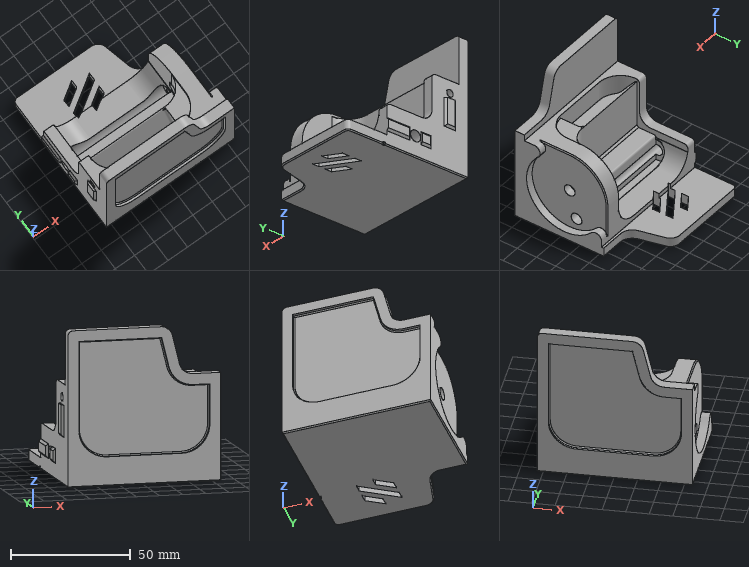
import cadquery as cq
import math

width = 66.05
reach = 66.7
plate = 5.0
low_reach = 46.15
slope_angle = 14.0
slope_end_x = 44.2
tip_radius = 2.15
crest_radius = 5.0
valley_radius = 6.0
bottom_chamfer = 0.55

block_depth = 45.0
block_height = 43.0

hole_d = 5.5
crown_radius = 19.4
upper_y = block_depth - crown_radius
upper_z = block_height - crown_radius
lower_y, lower_z = 29.15, 10.05
nut_flats = 8.2
nut_depth = 4.0
pilot_d = 3.5
pilot_depth = 4.0
pilot_y, pilot_z = 10.1, 37.0

hollow_x0, hollow_x1 = 5.0, 54.0
hollow_edge = 7.25
hollow_radius = 11.0
lip_z = 41.55
back_wall_y = 18.55
back_corner_radius = 10.05
ledge_z = 17.4
ledge_y = 28.5
ledge_round = 1.1
ledge_bevel = 0.95
channel_d = 11.0

trough_x1 = 43.4
trough_z = 33.4
trough_back_y = 17.95
trough_angle = 50.0
trough_round = 2.8
trough_lip_round = 0.75
trough_end_round = 1.35

notch_edge = 20.0
notch_radius = 5.75
notch_round = 2.0

seat_x = 62.1
seat_round = 3.1
seat_chamfer = 0.55
nose_offset = math.sqrt((crown_radius + seat_round) ** 2 - (crown_radius - seat_round) ** 2)

recess_margin = 4.75
recess_bottom = 12.5
recess_depth = 1.7
recess_radius = 12.2
recess_chamfer = 0.55

rib_height = 0.95
rib_slope = 1.1
upright_rib = (7.0, 13.25, 20.3, 34.0)
level_rib_spans = [(20.5, 26.1), (32.3, block_depth)]
level_rib_z = (6.9, 13.1)

slots = [(17.4, 25.0, 50.85), (17.4, 32.8, 43.95), (25.3, 32.8, 42.2)]
slot_rise = 0.655
slot_width = 3.55

nick_y, nick_width, nick_height, nick_depth = 46.3, 1.15, 1.15, 1.0


def box(x0, x1, y0, y1, z0, z1):
    return cq.Workplane("XY").box(x1 - x0, y1 - y0, z1 - z0, centered=False).translate((x0, y0, z0))


def side_plane(x):
    """Sketch plane across X with local axes along Y and Z."""
    return cq.Workplane("YZ", origin=(x, 0, 0))


def side_cylinder(x0, x1, y, z, diameter):
    return side_plane(x0).center(y, z).circle(diameter / 2).extrude(x1 - x0)


def near(x, y):
    """Selects the upright edge at one corner of an outline drawn in XY."""
    gap = 0.1
    return cq.selectors.BoxSelector((x - gap, y - gap, 0), (x + gap, y + gap, plate))


lean = math.tan(math.radians(slope_angle))


def plate_outline(margin, bottom):
    """Corner points of the stepped outline moved inwards by a margin."""
    shift = margin / math.cos(math.radians(slope_angle))
    top = reach - margin
    step = low_reach - margin
    crest = (slope_end_x - shift + lean * margin, top)
    foot = (slope_end_x - shift + lean * (reach - step), step)
    right = width - margin
    return [(margin, bottom), (margin, top), crest, foot, (right, step), (right, bottom)]


def flat_plate():
    points = plate_outline(0, 0)
    body = cq.Workplane("XY").polyline(points).close().extrude(plate)
    body = body.edges(near(*points[1])).fillet(tip_radius)
    body = body.edges(near(*points[2])).fillet(crest_radius)
    return body.edges(near(*points[3])).fillet(valley_radius)


def upright(body):
    """Turns a solid lying on the base so that it stands behind the front face."""
    return body.mirror("XY").rotate((0, 0, 0), (1, 0, 0), 90)


def front_recess():
    points = plate_outline(recess_margin, recess_bottom)
    body = cq.Workplane("XY").polyline(points).close().extrude(recess_depth)
    body = body.edges(near(*points[0])).fillet(recess_radius)
    body = body.edges(near(*points[5])).fillet(recess_radius)
    body = body.edges(near(*points[3])).fillet(valley_radius + recess_margin)
    return upright(body.faces(">Z").chamfer(recess_chamfer))


def block_profile(x0, x1):
    """Slice of the block between two X positions, with its rounded upper rear corner."""
    diagonal = crown_radius * math.sqrt(0.5)
    return (
        side_plane(x0)
        .lineTo(block_depth, 0)
        .lineTo(block_depth, upper_z)
        .threePointArc((upper_y + diagonal, upper_z + diagonal), (upper_y, block_height))
        .lineTo(0, block_height)
        .close()
        .extrude(x1 - x0)
    )


def rounded_hollow(depth):
    """Hollow outline in XY, rounded at its two low-Y corners and open towards +Y."""
    body = box(hollow_x0, hollow_x1, hollow_edge, block_depth, 0, depth)
    return body.edges("|Z and <Y").fillet(hollow_radius)


def lip():
    return rounded_hollow(block_height - lip_z).translate((0, 0, lip_z))


def trough():
    angle = math.radians(trough_angle)
    foot_y = trough_back_y - (lip_z - trough_z) / math.tan(angle)
    prism = (
        side_plane(0)
        .moveTo(0, trough_z)
        .lineTo(foot_y, trough_z)
        .lineTo(trough_back_y, lip_z)
        .lineTo(0, lip_z)
        .close()
        .extrude(trough_x1)
    )
    foot = cq.selectors.NearestToPointSelector((trough_x1 / 2, foot_y, trough_z))
    prism = prism.edges(foot).fillet(trough_round)
    prism = prism.faces(">X").edges("not >Z").edges("not <Y").fillet(trough_end_round)

    tangent = trough_lip_round * math.tan(angle / 2)
    crest = (
        side_plane(0)
        .moveTo(trough_back_y - tangent * math.cos(angle), lip_z - tangent * math.sin(angle))
        .radiusArc((trough_back_y + tangent, lip_z), trough_lip_round)
        .lineTo(trough_back_y, lip_z)
        .close()
        .extrude(trough_x1)
    )
    return prism.union(crest).intersect(rounded_hollow(lip_z))


def rear_hollow():
    """Space behind the solid front part, down to the ledge and the rounded floor."""
    above = box(hollow_x0, hollow_x1, back_wall_y, block_depth, ledge_z - ledge_round, lip_z)
    above = above.edges("|Z and <Y and >X").fillet(back_corner_radius)
    behind = upright(rounded_hollow(block_depth))
    behind = behind.intersect(box(0, width, ledge_y, block_depth, 0, block_height))
    channel = side_cylinder(hollow_x0, hollow_x1, lower_y, lower_z, channel_d)
    ledge = box(0, width, 0, ledge_y, 0, ledge_z)
    ledge = ledge.edges(">Y and >Z").fillet(ledge_round)
    bevel = (
        side_plane(0)
        .moveTo(back_wall_y, ledge_z)
        .lineTo(back_wall_y + ledge_bevel, ledge_z)
        .lineTo(back_wall_y, ledge_z + ledge_bevel)
        .close()
        .extrude(width)
    )
    return above.union(behind).union(channel).cut(ledge).cut(bevel)


def side_notch():
    """Step through the left wall, with rounded inner and outer corners."""
    return (
        side_plane(0)
        .moveTo(notch_edge - notch_round, block_height)
        .radiusArc((notch_edge, block_height - notch_round), notch_round)
        .lineTo(notch_edge, notch_edge + notch_radius)
        .radiusArc((notch_edge + notch_radius, notch_edge), -notch_radius)
        .lineTo(block_depth - notch_round, notch_edge)
        .radiusArc((block_depth, notch_edge - notch_round), notch_round)
        .lineTo(block_depth, block_height)
        .close()
        .extrude(hollow_x0)
    )


def seat():
    """Round seat about the upper screw, running out through two rounded noses."""
    rise = crown_radius - seat_round
    share = crown_radius / (crown_radius + seat_round)
    top_tangent = (upper_y - nose_offset * share, upper_z + rise * share)
    rear_tangent = (upper_y + rise * share, upper_z - nose_offset * share)
    diagonal = crown_radius * math.sqrt(0.5)
    return (
        side_plane(seat_x)
        .moveTo(upper_y - nose_offset, block_height)
        .radiusArc(top_tangent, seat_round)
        .threePointArc((upper_y - diagonal, upper_z - diagonal), rear_tangent)
        .radiusArc((block_depth, upper_z - nose_offset), seat_round)
        .lineTo(block_depth, block_height)
        .close()
        .extrude(width - seat_x)
    )


def block():
    """Solid block whose outer rim is chamfered only where the seat lays it bare."""
    rim = block_profile(0, seat_x).edges(">X").edges("not <Z").edges("not <Y").chamfer(seat_chamfer)
    front = box(0, width, 0, upper_y - nose_offset, 0, block_height)
    bottom = box(0, width, 0, block_depth, 0, upper_z - nose_offset)
    return rim.union(block_profile(seat_x, width)).union(front).union(bottom)


def nut_pocket():
    corner_d = nut_flats / math.cos(math.pi / 6)
    pocket = side_plane(hollow_x0).polygon(6, corner_d).extrude(hollow_x1 + nut_depth - hollow_x0)
    pocket = pocket.rotate((0, 0, 0), (1, 0, 0), 90)
    return pocket.translate((0, upper_y, upper_z))


def rib(y0, y1, z0, z1, slopes):
    """Rib on the left side; slopes are the bevel footprints at y0, y1, z0 and z1."""
    in_y0, in_y1, in_z0, in_z1 = slopes
    foot = [(y0, z0), (y1, z0), (y1, z1), (y0, z1)]
    crest = [
        (y0 + in_y0, z0 + in_z0),
        (y1 - in_y1, z0 + in_z0),
        (y1 - in_y1, z1 - in_z1),
        (y0 + in_y0, z1 - in_z1),
    ]
    return side_plane(0).polyline(foot).close().workplane(offset=-rib_height).polyline(crest).close().loft()


def slot(x0, x1, y):
    rise = slot_rise * (x1 - x0)
    corners = [(x0, y), (x1, y + rise), (x1, y + rise + slot_width), (x0, y + slot_width)]
    return cq.Workplane("XY").polyline(corners).close().extrude(block_height)


result = flat_plate().union(upright(flat_plate())).union(block())
result = result.faces("<Z").chamfer(bottom_chamfer)
result = result.cut(front_recess())

for hollow in (lip(), trough(), rear_hollow(), side_notch(), seat()):
    result = result.cut(hollow)

result = result.cut(nut_pocket())
for y, z in ((upper_y, upper_z), (lower_y, lower_z)):
    result = result.cut(side_cylinder(0, width, y, z, hole_d))
result = result.cut(side_cylinder(0, pilot_depth, pilot_y, pilot_z, pilot_d))

upright_slopes = (rib_slope, rib_slope, rib_slope, 0)
level_slopes = (rib_slope, 0, rib_slope, rib_slope)
result = result.union(rib(*upright_rib, upright_slopes))
for y_range in level_rib_spans:
    result = result.union(rib(*y_range, *level_rib_z, level_slopes))

for slot_place in slots:
    result = result.cut(slot(*slot_place))

nick_y0 = nick_y - nick_width / 2
result = result.cut(box(0, nick_depth, nick_y0, nick_y0 + nick_width, 0, nick_height))